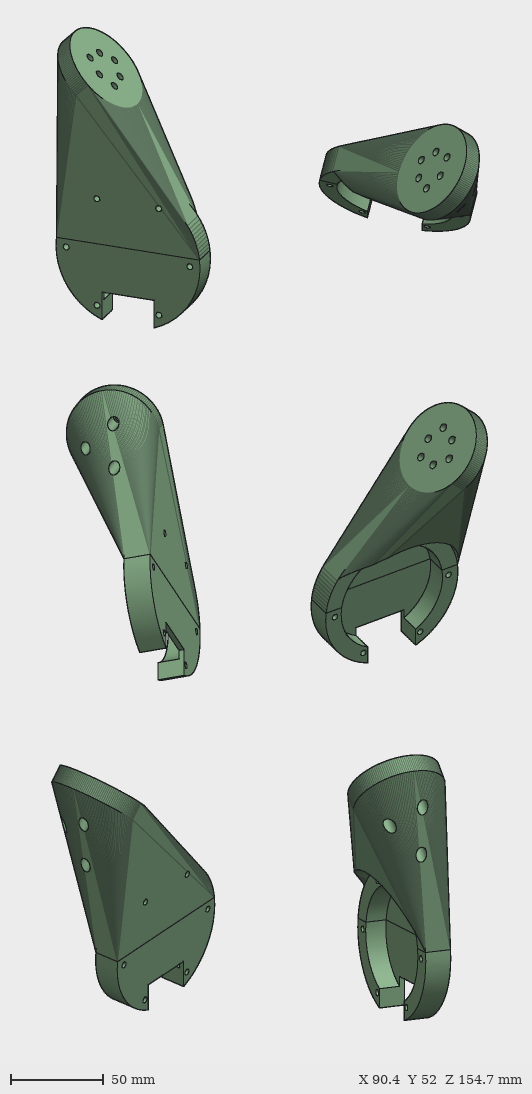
import cadquery as cq
import math


plate_diameter = 84.0
plate_radius = plate_diameter / 2
plate_thickness = 15.0
seam_height = 4.8
slot_width = 30.3
slot_top = -23.0

pocket_radius = 32.2
front_wall = 3.0

screw_diameter = 3.4
screw_count = 6
screw_circle_radius = 36.0

total_height = 154.7
flange_radius = 26.0
flange_thickness = 10.0
flange_tilt = 45
flange_front_overhang = 1.0
flange_x = -30.0

bolt_diameter = 4.3
bolt_head_diameter = 6.3
bolts_per_circle = 3
through_circle_radius = 11.6
blind_circle_radius = 9.7
head_recess_length = 61.9

flange_facets = 150
plate_facets = 60
flatness = 3.7e-07

tilt = math.radians(flange_tilt)
plate_bottom = -math.sqrt(plate_radius**2 - (slot_width / 2) ** 2)
flange_rise = flange_thickness * math.cos(tilt) + flange_radius * math.sin(tilt)
flange_z = plate_bottom + total_height - flange_rise
flange_y = flange_radius - flange_front_overhang
flange_axis = cq.Vector(math.sin(tilt), 0, math.cos(tilt))
flange_across = cq.Vector(math.cos(tilt), 0, -math.sin(tilt))
flange_base = cq.Vector(flange_x, flange_y, flange_z)
flange_end = flange_base + flange_axis * flange_thickness
body_depth = flange_y + flange_radius


def cylinder_along_y(radius, x, z, y_start, y_end):
    axis = cq.Vector(0, 1, 0)
    return cq.Solid.makeCylinder(radius, y_end - y_start, cq.Vector(x, y_start, z), axis)


def flange_circle(center, radius, count):
    """Points around the flange axis, the first one towards +Y."""
    points = []
    for i in range(count):
        angle = 2 * math.pi * i / count
        offset = flange_across * math.sin(angle) + cq.Vector(0, 1, 0) * math.cos(angle)
        points.append(center + offset * radius)
    return points


def plate_arc(y):
    """Points on the plate rim above the seam, from the right end to the left end."""
    start = math.asin(seam_height / plate_radius)
    points = []
    for i in range(plate_facets + 1):
        angle = start + (math.pi - 2 * start) * i / plate_facets
        points.append(cq.Vector(plate_radius * math.cos(angle), y, plate_radius * math.sin(angle)))
    return points


def convex_hull(corners, points):
    """Smallest convex solid around all points, grown from four corners that span a tetrahedron."""
    inside = sum(corners, cq.Vector()) / len(corners)

    def height_above(face, point):
        a, b, c = face
        return (b - a).cross(c - a).dot(point - a)

    def facing_out(a, b, c):
        return (a, c, b) if height_above((a, b, c), inside) > 0 else (a, b, c)

    a, b, c, d = corners
    faces = [facing_out(*face) for face in ((a, b, c), (a, b, d), (a, c, d), (b, c, d))]
    for point in points:
        seen = [face for face in faces if height_above(face, point) > flatness]
        if not seen:
            continue
        edges = {}
        for a, b, c in seen:
            for start, end in ((a, b), (b, c), (c, a)):
                edges[start.toTuple(), end.toTuple()] = (start, end)
        rim = [edge for (start, end), edge in edges.items() if (end, start) not in edges]
        faces = [face for face in faces if face not in seen]
        faces += [(start, end, point) for start, end in rim]
    sides = [cq.Face.makeFromWires(cq.Wire.makePolygon(face, close=True)) for face in faces]
    return cq.Solid.makeSolid(cq.Shell.makeShell(sides)).clean()


def plate_cutters():
    """Pocket and screw holes, running from the plate out through the back of both bodies."""
    cutters = [cylinder_along_y(pocket_radius, 0, 0, front_wall, body_depth)]
    for i in range(screw_count):
        angle = 2 * math.pi * i / screw_count
        x = screw_circle_radius * math.cos(angle)
        z = screw_circle_radius * math.sin(angle)
        cutters.append(cylinder_along_y(screw_diameter / 2, x, z, -plate_thickness, body_depth))
    return cutters


def flange_cutters():
    """Two triangles of bolt holes, the wider one with head recesses from below."""
    cutters = []
    through = flange_circle(flange_base, through_circle_radius, bolts_per_circle)
    blind = flange_circle(flange_base, -blind_circle_radius, bolts_per_circle)
    for center in through + blind:
        cutters.append(cq.Solid.makeCylinder(bolt_diameter / 2, flange_thickness, center, flange_axis))
    for center in through:
        recess = cq.Solid.makeCylinder(bolt_head_diameter / 2, head_recess_length, center, -flange_axis)
        cutters.append(recess)
    return cutters


def make_tapered_body():
    """Body that tapers from the round plate to the tilted flange, cleared behind the plate disc."""
    front = plate_arc(0)
    back = plate_arc(plate_thickness)
    rims = [
        *flange_circle(flange_base, flange_radius, flange_facets),
        *flange_circle(flange_end, flange_radius, flange_facets),
    ]
    corners = [front[0], front[-1], back[0], rims[0]]
    body = convex_hull(corners, front[1:-1] + back[1:] + rims[1:])
    clearance = cylinder_along_y(plate_radius, 0, 0, plate_thickness, body_depth)
    cutters = [clearance, *plate_cutters(), *flange_cutters()]
    return cq.Workplane(body.cut(*cutters)).solids()


def make_base_plate():
    """Part of the round plate below the seam, with a slot open at the bottom."""
    disc = cq.Workplane(cylinder_along_y(plate_radius, 0, 0, 0, plate_thickness))
    above_seam = (
        cq.Workplane()
        .box(plate_diameter, plate_thickness, plate_diameter, centered=(True, False, False))
        .translate((0, 0, seam_height))
    )
    slot = (
        cq.Workplane()
        .box(slot_width, plate_thickness, plate_radius, centered=(True, False, False))
        .translate((0, 0, slot_top - plate_radius))
    )
    plate = disc.cut(above_seam).cut(slot)
    return cq.Workplane(plate.val().cut(*plate_cutters())).solids()


tapered_body = make_tapered_body()
base_plate = make_base_plate()

result = cq.Compound.makeCompound([tapered_body.val(), base_plate.val()])